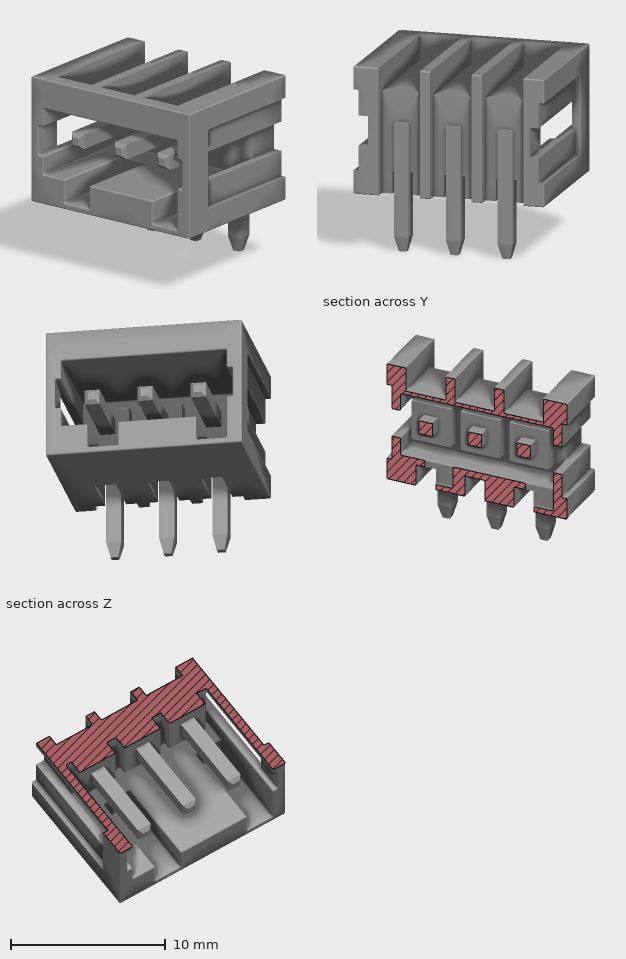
import cadquery as cq


WIDTH = 12.9
DEPTH = 10.3
HEIGHT = 8.5
MID_HEIGHT = HEIGHT / 2
EDGE_RADIUS = 0.1

CAVITY_WIDTH = 10.9
CAVITY_FLOOR = 2.0
CAVITY_TOP = 6.5
REAR_WALL = 2.5
CAVITY_DEPTH = DEPTH - REAR_WALL

CHANNEL_WIDTH = 2.0
CHANNEL_LENGTH = 6.0
CHANNEL_FLOOR = 0.4
LEFT_CHANNEL_START = -3.7
RIGHT_CHANNEL_START = CAVITY_WIDTH / 2 - CHANNEL_WIDTH

RECESS_HEIGHT = 5.4
RECESS_DEPTH = 0.37
WINDOW_HEIGHT = 2.0
WINDOW_FRONT = 1.99
NOTCH_WALL = 0.6

PITCH = 3.5
ROW_OFFSET = -0.15
PIN_XS = [ROW_OFFSET + step * PITCH for step in (-1, 0, 1)]
PIN_SIZE = 0.99
PIN_TIP_SIZE = 0.5
PIN_HEIGHT = 4.35
PIN_FRONT = 1.1
FRONT_TAPER = 0.25
PIN_REAR_GAP = 0.5
TAIL_LENGTH = 3.79
TAIL_TAPER = 1.0

POLE_WIDTH = 2.8
COLLAR_LENGTH = 1.0
GROOVE_FLOOR = 6.8
GROOVE_FRONT = 0.98
REAR_SLOT_DEPTH = 0.8
TAIL_SLOT_FRONT = CHANNEL_LENGTH - EDGE_RADIUS
TAIL_SLOT_WIDTH = 1.39
TAIL_SLOT_HEIGHT = 1.5


def block(x0, x1, y0, y1, z0, z1):
    """Axis-aligned box between two corners."""
    return cq.Workplane("XY").box(x1 - x0, y1 - y0, z1 - z0, centered=False).translate((x0, y0, z0))


def centred_block(x_centre, width, y0, y1, z0, z1):
    """Box centred on x_centre."""
    return block(x_centre - width / 2, x_centre + width / 2, y0, y1, z0, z1)


def make_cavity():
    """Mating cavity with its two floor channels and the side grooves that line up with the windows."""
    cavity = centred_block(0, CAVITY_WIDTH, 0, CAVITY_DEPTH, CAVITY_FLOOR, CAVITY_TOP)
    for start in (LEFT_CHANNEL_START, RIGHT_CHANNEL_START):
        cavity = cavity.union(
            block(start, start + CHANNEL_WIDTH, 0, CHANNEL_LENGTH, CHANNEL_FLOOR, CAVITY_TOP)
        )
    notches = centred_block(
        0,
        WIDTH - 2 * NOTCH_WALL,
        0,
        CAVITY_DEPTH,
        MID_HEIGHT - WINDOW_HEIGHT / 2,
        MID_HEIGHT + WINDOW_HEIGHT / 2,
    )
    return cavity.union(notches).clean()


def cut_side(housing, side):
    """Shallow recess on one side (-1 left, +1 right) and the window slot inside it."""
    cuts = ((RECESS_HEIGHT, WIDTH / 2 - RECESS_DEPTH), (WINDOW_HEIGHT, CAVITY_WIDTH / 2))
    for height, inner_x in cuts:
        x0, x1 = sorted((side * inner_x, side * WIDTH / 2))
        z0 = MID_HEIGHT - height / 2
        housing = housing.cut(block(x0, x1, WINDOW_FRONT, DEPTH, z0, z0 + height))
    return housing


def cut_pole(housing, x):
    """Top groove, full-height rear slot and tail slot of one pole."""
    groove = centred_block(x, POLE_WIDTH, GROOVE_FRONT, DEPTH, GROOVE_FLOOR, HEIGHT)
    rear_slot = centred_block(x, POLE_WIDTH, DEPTH - REAR_SLOT_DEPTH, DEPTH, 0, HEIGHT)
    tail_slot = centred_block(x, TAIL_SLOT_WIDTH, TAIL_SLOT_FRONT, DEPTH, 0, TAIL_SLOT_HEIGHT)
    return housing.cut(groove).cut(rear_slot).cut(tail_slot)


def make_housing():
    """Rounded block, hollowed with all cavity edges rounded, then cut at the sides and poles."""
    housing = centred_block(0, WIDTH, 0, DEPTH, 0, HEIGHT).edges().fillet(EDGE_RADIUS)
    housing = housing.cut(make_cavity())
    margin = 2 * EDGE_RADIUS
    cavity_edges = cq.selectors.BoxSelector(
        (-WIDTH / 2 + margin, -margin, margin),
        (WIDTH / 2 - margin, CAVITY_DEPTH + margin, HEIGHT - margin),
    )
    housing = housing.edges(cavity_edges).fillet(EDGE_RADIUS)
    for side in (-1, 1):
        housing = cut_side(housing, side)
    for x in PIN_XS:
        housing = cut_pole(housing, x)
    return housing


def tapered_tip(plane, length):
    """Square frustum from the pin section to its blunt tip, along the plane normal."""
    return (
        cq.Workplane(plane)
        .rect(PIN_SIZE, PIN_SIZE)
        .workplane(offset=length)
        .rect(PIN_TIP_SIZE, PIN_TIP_SIZE)
        .loft(ruled=True)
    )


def make_contact(x):
    """Right-angle pin with its collar: one leg to the front, the tail downwards."""
    rear = DEPTH - PIN_REAR_GAP
    top = PIN_HEIGHT + PIN_SIZE / 2
    shoulder = PIN_FRONT + FRONT_TAPER
    tail_end = TAIL_TAPER - TAIL_LENGTH
    leg = centred_block(x, PIN_SIZE, shoulder, rear, top - PIN_SIZE, top)
    tail = centred_block(x, PIN_SIZE, rear - PIN_SIZE, rear, tail_end, top)
    collar_front = CAVITY_DEPTH - COLLAR_LENGTH
    collar_bottom = MID_HEIGHT - POLE_WIDTH / 2
    collar = centred_block(
        x, POLE_WIDTH, collar_front, CAVITY_DEPTH, collar_bottom, collar_bottom + POLE_WIDTH
    )
    front_plane = cq.Plane((x, shoulder, PIN_HEIGHT), (1, 0, 0), (0, -1, 0))
    tail_plane = cq.Plane((x, rear - PIN_SIZE / 2, tail_end), (1, 0, 0), (0, 0, -1))
    front_tip = tapered_tip(front_plane, FRONT_TAPER)
    tail_tip = tapered_tip(tail_plane, TAIL_TAPER)
    return leg.union(tail).union(collar).union(front_tip).union(tail_tip)


result = make_housing()
for pin_x in PIN_XS:
    result = result.union(make_contact(pin_x))